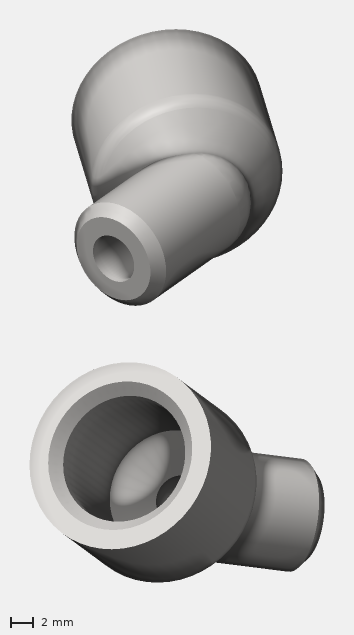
import cadquery as cq
import math

spigot_diameter = 10.0
spigot_length = 12.0
spigot_chamfer = 0.98
spigot_bore_diameter = 4.5
spigot_radius = spigot_diameter / 2

socket_angle = 45
socket_diameter = 17.0
socket_reach = 15.5
socket_edge_radius = 2.0
socket_radius = socket_diameter / 2
cone_angle = 45
cone_height = (socket_radius - spigot_radius) / math.tan(math.radians(cone_angle))

socket_bore_diameter = 11.45
mouth_diameter = 13.5
mouth_depth = 1.0
socket_bore_depth = 12.8
drill_point_angle = 118


def swing(body):
    """Turn a body from the Y axis onto the socket axis."""
    return body.rotate((0, 0, 0), (0, 0, 1), socket_angle)


def spigot_cylinder(diameter):
    """Cylinder from the elbow centre to the free end of the spigot."""
    return cq.Workplane("XZ").circle(diameter / 2).extrude(spigot_length)


def make_spigot():
    tube = spigot_cylinder(spigot_diameter).faces("<Y").chamfer(spigot_chamfer)
    return tube.union(cq.Workplane("XY").sphere(spigot_radius))


def make_socket():
    cone_slope = math.radians(cone_angle)
    arc_mid_angle = cone_slope / 2
    tangent_length = socket_edge_radius * math.tan(arc_mid_angle)
    arc_start = (
        socket_radius - tangent_length * math.sin(cone_slope),
        cone_height - tangent_length * math.cos(cone_slope),
    )
    arc_centre_x = socket_radius - socket_edge_radius
    arc_centre_y = cone_height + tangent_length
    arc_mid = (
        arc_centre_x + socket_edge_radius * math.cos(arc_mid_angle),
        arc_centre_y - socket_edge_radius * math.sin(arc_mid_angle),
    )
    cup = (
        cq.Workplane("XY")
        .lineTo(spigot_radius, 0)
        .lineTo(*arc_start)
        .threePointArc(arc_mid, (socket_radius, arc_centre_y))
        .lineTo(socket_radius, socket_reach)
        .lineTo(0, socket_reach)
        .close()
        .revolve(360, (0, 0), (0, 1))
    )
    return swing(cup)


def make_socket_bore():
    floor = socket_reach - socket_bore_depth
    point_height = socket_bore_diameter / 2 / math.tan(math.radians(drill_point_angle / 2))
    profile = [
        (0, floor - point_height),
        (socket_bore_diameter / 2, floor),
        (socket_bore_diameter / 2, socket_reach - mouth_depth),
        (mouth_diameter / 2, socket_reach),
        (0, socket_reach),
    ]
    cavity = cq.Workplane("XY").polyline(profile).close().revolve(360, (0, 0), (0, 1))
    return swing(cavity)


def make_flow_passage():
    inlet = spigot_cylinder(spigot_bore_diameter)
    bend = cq.Workplane("XY").sphere(spigot_bore_diameter / 2)
    return inlet.union(bend)


result = make_spigot().union(make_socket()).cut(make_socket_bore()).cut(make_flow_passage())